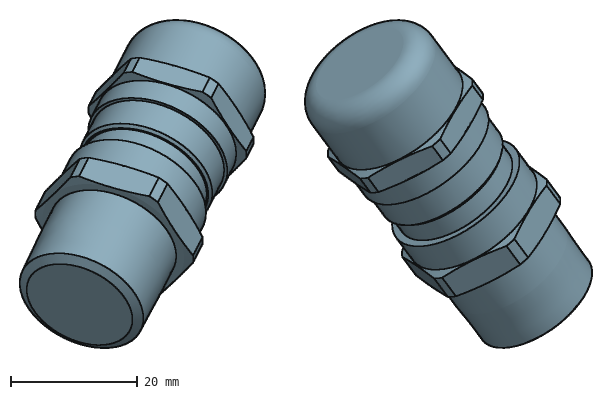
import cadquery as cq
import math

length = 54.65

nose_end = 0.9
taper_end = 8.8
thread_end = 15.05
body_hex_end = 20.0
body_end = 25.3
neck_end = 29.0
sleeve_end = 34.75
cap_hex_start = 38.7
cap_hex_end = 42.7

nose_diameter = 17.9
taper_diameter = 21.0
thread_diameter = 21.3
neck_diameter = 21.0
sleeve_diameter = 22.5
cap_diameter = 23.6
body_diameter = cap_diameter

sleeve_chamfer_length = 0.5
dome_radius = 3.7

across_flats = 24.0
across_corners = 26.8
hex_chamfer_angle = 15.0


def revolve_about_y(points):
    """Revolve a closed (radius, station) outline about the Y axis."""
    return cq.Workplane("XY").polyline(points).close().revolve(360, (0, 0, 0), (0, 1, 0))


def make_turned_body():
    nose_r = nose_diameter / 2
    taper_r = taper_diameter / 2
    thread_r = thread_diameter / 2
    neck_r = neck_diameter / 2
    sleeve_r = sleeve_diameter / 2
    body_r = body_diameter / 2
    cap_r = cap_diameter / 2
    outline = [
        (0, 0),
        (nose_r, 0),
        (taper_r, nose_end),
        (thread_r, taper_end),
        (thread_r, thread_end),
        (body_r, thread_end),
        (body_r, body_end),
        (neck_r, body_end),
        (neck_r, neck_end),
        (sleeve_r - sleeve_chamfer_length, neck_end),
        (sleeve_r, neck_end + sleeve_chamfer_length),
        (sleeve_r, sleeve_end),
        (cap_r, sleeve_end),
        (cap_r, length),
        (0, length),
    ]
    return revolve_about_y(outline).faces(">Y").edges().fillet(dome_radius)


def make_hexagon(start, end):
    """Hexagon with flats at +Z and -Z and turned, chamfered corners."""
    full_corners = across_flats / math.cos(math.radians(30))
    prism = (
        cq.Workplane("XZ", origin=(0, end, 0))
        .polygon(6, full_corners)
        .extrude(end - start)
    )
    face_r = across_flats / 2
    corner_r = across_corners / 2
    chamfer_length = (corner_r - face_r) * math.tan(math.radians(hex_chamfer_angle))
    envelope = revolve_about_y([
        (0, start),
        (face_r, start),
        (corner_r, start + chamfer_length),
        (corner_r, end - chamfer_length),
        (face_r, end),
        (0, end),
    ])
    return prism.intersect(envelope)


result = make_turned_body()
for hex_start, hex_end in [(thread_end, body_hex_end), (cap_hex_start, cap_hex_end)]:
    result = result.union(make_hexagon(hex_start, hex_end))